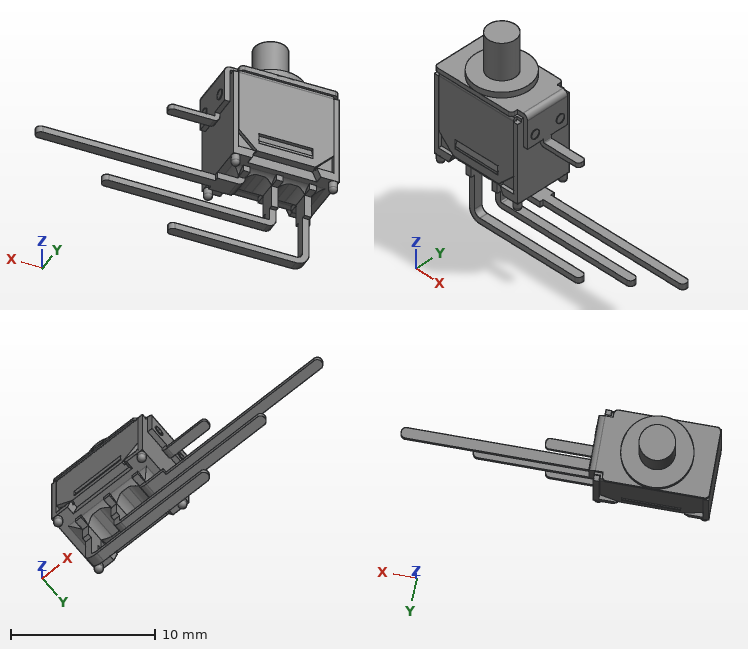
import cadquery as cq
import math

HOUSING_LENGTH = 8.13
WIDTH = 5.08
HOUSING_HEIGHT = 7.05
CORE_HEIGHT = 7.32
CORE_INSET = 0.05
CENTER_X = HOUSING_LENGTH / 2
HALF_WIDTH = WIDTH / 2

SHEET = 0.4
COVER_TOP = CORE_HEIGHT + SHEET
PLATE_END = 7.54
PLATE_CORNER = 0.3
CORE_HALF_WIDTH = HALF_WIDTH - SHEET
FLANGE_GAP = 0.05
FLANGE_BOTTOM = 0.75
FLANGE_CHAMFER = 1.41
RECESS_BOTTOM = 0.69
RECESS_DEPTH = 0.3
RECESS_FLOOR = -HALF_WIDTH + RECESS_DEPTH
FLANGE_SETBACK = 0.05
FLANGE_FACE = -HALF_WIDTH + FLANGE_SETBACK

LATCH_LENGTH = 4.15
LATCH_BOTTOM = 1.45
LATCH_EDGE = 1.65
LATCH_TOP = 2.28
LATCH_SETBACK = 0.02

NOTCH_BOTTOM_LENGTH = 5.3
NOTCH_TOP_LENGTH = 4.65
NOTCH_DEPTH = 0.65

TAB_WIDTH = 3.93
TAB_BEND_RADIUS = 0.45
TAB_BOTTOM = 4.75
TERMINAL_BOTTOM = 4.05
TERMINAL_BEND_INNER = 0.05
TERMINAL_TIP_RADIUS = 0.29
DIMPLE_DIAMETER = 0.77
DIMPLE_HEIGHT = 0.07
DIMPLE_OFFSET = 1.24
DIMPLE_Z = 5.7

BUSHING_DIAMETER = WIDTH
BUSHING_HEIGHT = 0.5
PLUNGER_DIAMETER = 2.55
PLUNGER_HEIGHT = 3.32

LEAD_COUNT = 3
PITCH = 2.55
LEAD_THICKNESS = 0.5
LEAD_WIDTH = 0.75
LEAD_TIP_RADIUS = 0.35
LEAD_ROOT_WIDTH = 1.41
LEAD_ROOT_DEPTH = 2.19
LEAD_ROOT_END_X = 8.49
LEAD_SHOULDER_WIDTH = 3.0
LEAD_SHOULDER_DEPTH = 0.46
LOWEST_LEAD_BOTTOM = -6.19
SHORT_LEAD_END = 11.93
LARGE_BEND_INNER = 0.5
SMALL_BEND_INNER = 0.1

PEG_DIAMETER = 0.65
PEG_STRAIGHT = 0.49

RESIN_CREEP = 0.42
RESIN_FILM = 0.13
RESIN_SPREAD = 0.7
RESIN_HOLLOW = 0.4

EMBED = 0.22


def block(x_min, x_max, y_min, y_max, z_min, z_max):
    """Box given by its limits along each axis."""
    size = (x_max - x_min, y_max - y_min, z_max - z_min)
    return cq.Workplane("XY").box(*size, centered=False).translate((x_min, y_min, z_min))


def centered_block(x_min, x_max, width, z_min, z_max):
    """Box that is symmetric about Y = 0."""
    return block(x_min, x_max, -width / 2, width / 2, z_min, z_max)


def both_sides(body):
    """A body on the -Y side together with its mirror image."""
    return body.union(body.mirror("XZ"))


def housing():
    body = centered_block(0, HOUSING_LENGTH, WIDTH, 0, HOUSING_HEIGHT)
    body = body.union(centered_block(CORE_INSET, HOUSING_LENGTH, 2 * CORE_HALF_WIDTH, 0, CORE_HEIGHT))
    recess = block(SHEET, HOUSING_LENGTH - SHEET, -HALF_WIDTH, RECESS_FLOOR, RECESS_BOTTOM, COVER_TOP)
    notch = (
        cq.Workplane("XZ", origin=(CENTER_X, -HALF_WIDTH, 0))
        .moveTo(-NOTCH_BOTTOM_LENGTH / 2, 0)
        .lineTo(NOTCH_BOTTOM_LENGTH / 2, 0)
        .lineTo(NOTCH_TOP_LENGTH / 2, FLANGE_BOTTOM)
        .lineTo(-NOTCH_TOP_LENGTH / 2, FLANGE_BOTTOM)
        .close()
        .extrude(-NOTCH_DEPTH)
    )
    return body.cut(both_sides(recess.union(notch)))


def flange():
    """Side flange on -Y, rounded where it bends under the top plate."""
    x_min = SHEET
    x_max = HOUSING_LENGTH - SHEET - FLANGE_GAP
    sheet = block(x_min, x_max, FLANGE_FACE, -CORE_HALF_WIDTH, FLANGE_BOTTOM, HOUSING_HEIGHT)
    sheet = sheet.edges("|Y and <Z").chamfer(FLANGE_CHAMFER)
    bend = (
        cq.Workplane("YZ", origin=(x_min, -CORE_HALF_WIDTH, HOUSING_HEIGHT))
        .circle(SHEET - FLANGE_SETBACK)
        .extrude(x_max - x_min)
    )
    bend_space = block(x_min, x_max, FLANGE_FACE, -CORE_HALF_WIDTH, HOUSING_HEIGHT, CORE_HEIGHT)
    latch_start = CENTER_X - LATCH_LENGTH / 2
    latch_window = block(
        latch_start, latch_start + LATCH_LENGTH, FLANGE_FACE, RECESS_FLOOR, LATCH_BOTTOM, LATCH_TOP
    )
    latch_face = FLANGE_FACE + LATCH_SETBACK
    wedge = (
        cq.Workplane("YZ", origin=(latch_start, 0, 0))
        .moveTo(RECESS_FLOOR, LATCH_BOTTOM)
        .lineTo(latch_face, LATCH_BOTTOM)
        .lineTo(latch_face, LATCH_EDGE)
        .lineTo(RECESS_FLOOR, LATCH_TOP)
        .close()
        .extrude(LATCH_LENGTH)
    )
    return sheet.union(bend.intersect(bend_space)).cut(latch_window).union(wedge)


def bent_strip(start_x, start_z, bottom_z, end_x, inner_radius, thickness, width):
    """Strip that runs down with its -X face at start_x, bends and runs on toward +X."""
    outer_radius = inner_radius + thickness
    top_z = bottom_z + thickness
    center_x = start_x + outer_radius
    center_z = bottom_z + outer_radius
    outer_diagonal = outer_radius * math.sqrt(0.5)
    inner_diagonal = inner_radius * math.sqrt(0.5)
    return (
        cq.Workplane("XZ")
        .moveTo(start_x, start_z)
        .lineTo(start_x, center_z)
        .threePointArc((center_x - outer_diagonal, center_z - outer_diagonal), (center_x, bottom_z))
        .lineTo(end_x, bottom_z)
        .lineTo(end_x, top_z)
        .lineTo(center_x, top_z)
        .threePointArc((center_x - inner_diagonal, center_z - inner_diagonal), (start_x + thickness, center_z))
        .lineTo(start_x + thickness, start_z)
        .close()
        .extrude(width / 2, both=True)
    )


def top_plate():
    plate = centered_block(0, PLATE_END, WIDTH, CORE_HEIGHT, COVER_TOP)
    return plate.edges("|Z").fillet(PLATE_CORNER)


def rear_tab():
    """Tab folded down over the +X wall, ending in a terminal that points along +X."""
    outer_x = HOUSING_LENGTH + SHEET
    tab = centered_block(PLATE_END - EMBED, outer_x, TAB_WIDTH, TAB_BOTTOM, COVER_TOP)
    tab = tab.edges("|Y and >X and >Z").fillet(TAB_BEND_RADIUS)
    tab = tab.cut(centered_block(0, HOUSING_LENGTH, WIDTH, 0, CORE_HEIGHT))
    dimples = (
        cq.Workplane("YZ", origin=(outer_x, 0, DIMPLE_Z))
        .pushPoints([(-DIMPLE_OFFSET, 0), (DIMPLE_OFFSET, 0)])
        .circle(DIMPLE_DIAMETER / 2)
        .extrude(DIMPLE_HEIGHT)
    )
    terminal = bent_strip(
        HOUSING_LENGTH, TAB_BOTTOM, TERMINAL_BOTTOM, SHORT_LEAD_END, TERMINAL_BEND_INNER, SHEET, LEAD_WIDTH
    )
    terminal = terminal.edges("|Z and >X").fillet(TERMINAL_TIP_RADIUS)
    return tab.union(dimples).union(terminal)


def bushing_and_plunger():
    bushing = cq.Workplane("XY", origin=(CENTER_X, 0, COVER_TOP)).circle(BUSHING_DIAMETER / 2)
    bushing = bushing.extrude(BUSHING_HEIGHT)
    return bushing.faces(">Z").workplane().circle(PLUNGER_DIAMETER / 2).extrude(PLUNGER_HEIGHT)


def lead(index):
    """Lead number 0, 1 or 2 from the left: each next one sits a pitch higher and reaches further."""
    start_x = CENTER_X + (index - 1) * PITCH - LEAD_THICKNESS / 2
    bottom_z = LOWEST_LEAD_BOTTOM + index * PITCH
    end_x = SHORT_LEAD_END + 2 * index * PITCH
    inner_radius = LARGE_BEND_INNER if index == 0 else SMALL_BEND_INNER

    def strip(width):
        return bent_strip(start_x, EMBED, bottom_z, end_x, inner_radius, LEAD_THICKNESS, width)

    root_zone = centered_block(start_x, LEAD_ROOT_END_X, WIDTH, -LEAD_ROOT_DEPTH, EMBED)
    root = strip(LEAD_ROOT_WIDTH).intersect(root_zone)
    shoulder = centered_block(
        start_x, start_x + LEAD_THICKNESS, LEAD_SHOULDER_WIDTH, -LEAD_SHOULDER_DEPTH, EMBED
    )
    narrow_strip = strip(LEAD_WIDTH).edges("|Z and >X").fillet(LEAD_TIP_RADIUS)
    return narrow_strip.union(root).union(shoulder)


def pegs():
    radius = PEG_DIAMETER / 2
    peg = cq.Workplane("XY").circle(radius).extrude(-PEG_STRAIGHT)
    peg = peg.union(cq.Workplane("XY", origin=(0, 0, -PEG_STRAIGHT)).sphere(radius))
    y = HALF_WIDTH - radius
    body = cq.Workplane("XY")
    for x in (radius, HOUSING_LENGTH - radius):
        body = body.union(peg.translate((x, -y, 0))).union(peg.translate((x, y, 0)))
    return body


def meniscus(half_width, foot_z):
    """Profile centred on a lead: full height at the lead, falling in hollow arcs to foot_z, closed inside."""
    foot = half_width + RESIN_SPREAD
    mid_reach = half_width + RESIN_HOLLOW * RESIN_SPREAD
    mid_z = foot_z - RESIN_HOLLOW * (RESIN_CREEP + foot_z)
    return (
        cq.Workplane("XZ")
        .moveTo(-foot, EMBED)
        .lineTo(-foot, foot_z)
        .threePointArc((-mid_reach, mid_z), (-half_width, -RESIN_CREEP))
        .lineTo(half_width, -RESIN_CREEP)
        .threePointArc((mid_reach, mid_z), (foot, foot_z))
        .lineTo(foot, EMBED)
        .close()
    )


def resin():
    """Resin under the housing: a thin film between the leads that rises against each lead."""
    film = centered_block(CENTER_X - PITCH, CENTER_X + PITCH, WIDTH, -RESIN_FILM, EMBED)
    inner_zone = centered_block(CENTER_X - PITCH, CENTER_X + PITCH, WIDTH, -RESIN_CREEP, EMBED)
    inner_rise = meniscus(LEAD_THICKNESS / 2, -RESIN_FILM).extrude(HALF_WIDTH, both=True)
    outer_rise = meniscus(LEAD_THICKNESS / 2, 0).extrude(HALF_WIDTH, both=True)
    length_profile = film
    for index in range(LEAD_COUNT):
        lead_x = CENTER_X + (index - 1) * PITCH
        length_profile = length_profile.union(inner_rise.translate((lead_x, 0, 0)).intersect(inner_zone))
    for lead_x in (CENTER_X - PITCH, CENTER_X + PITCH):
        length_profile = length_profile.union(outer_rise.translate((lead_x, 0, 0)))
    cross_profile = meniscus(LEAD_ROOT_WIDTH / 2, 0).extrude(HOUSING_LENGTH, both=True)
    cross_profile = cross_profile.rotate((0, 0, 0), (0, 0, 1), 90)
    return length_profile.intersect(cross_profile)


result = housing().union(both_sides(flange())).union(top_plate()).union(rear_tab())
result = result.union(bushing_and_plunger()).union(pegs()).union(resin())
for lead_index in range(LEAD_COUNT):
    result = result.union(lead(lead_index))